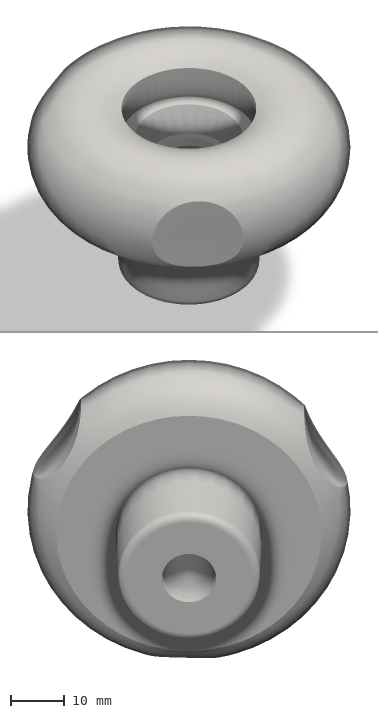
import cadquery as cq
import math

outer_radius = 30.0
total_height = 38.5
rim_height = 20.5
hub_height = total_height - rim_height

section_radius = 11.05
section_center_r = outer_radius - section_radius
section_center_z = total_height - section_radius

hub_top_radius = 13.6
hub_bottom_radius = 13.1
hub_fillet = 1.5

recess_radius = 25.0 / 2
recess_wall_height = 6.6
funnel_top_radius = 20.05 / 2
funnel_bottom_radius = 7.5
funnel_depth = 4.8
hole_radius = 10.1 / 2
hole_chamfer = 1.0

scallop_count = 3
scallop_radius = 21.0
scallop_inner_r = 27.0
first_scallop_angle = 90.0

recess_edge_z = section_center_z + math.sqrt(
    section_radius**2 - (section_center_r - recess_radius) ** 2
)
ledge_z = recess_edge_z - recess_wall_height
funnel_bottom_z = ledge_z - funnel_depth


def make_rim():
    """Solid of revolution: flat bottom, round outside, closed to the axis at the recess edge."""
    bottom_edge_r = section_center_r + math.sqrt(
        section_radius**2 - (section_center_z - hub_height) ** 2
    )
    diagonal = section_radius * math.sqrt(0.5)
    return (
        cq.Workplane("XZ")
        .moveTo(0, hub_height)
        .lineTo(bottom_edge_r, hub_height)
        .threePointArc(
            (section_center_r + diagonal, section_center_z + diagonal),
            (recess_radius, recess_edge_z),
        )
        .lineTo(0, recess_edge_z)
        .close()
        .revolve(360, (0, 0), (0, 1))
    )


def make_hub():
    """Tapered hub below the rim."""
    return (
        cq.Workplane("XZ")
        .polyline([(0, 0), (hub_bottom_radius, 0), (hub_top_radius, hub_height), (0, hub_height)])
        .close()
        .revolve(360, (0, 0), (0, 1))
        .faces("<Z")
        .edges()
        .fillet(hub_fillet)
    )


def make_bore():
    """Recess, conical funnel and chamfered through hole on the axis."""
    profile = [
        (0, 0),
        (hole_radius, 0),
        (hole_radius, funnel_bottom_z - hole_chamfer),
        (hole_radius + hole_chamfer, funnel_bottom_z),
        (funnel_bottom_radius, funnel_bottom_z),
        (funnel_top_radius, ledge_z),
        (recess_radius, ledge_z),
        (recess_radius, total_height),
        (0, total_height),
    ]
    return cq.Workplane("XZ").polyline(profile).close().revolve(360, (0, 0), (0, 1))


def make_scallops():
    """Upright cylinders spaced evenly around the rim."""
    return (
        cq.Workplane("XY")
        .workplane(offset=hub_height)
        .polarArray(scallop_inner_r + scallop_radius, first_scallop_angle, 360, scallop_count)
        .circle(scallop_radius)
        .extrude(rim_height)
    )


result = make_rim().union(make_hub()).cut(make_bore()).cut(make_scallops())